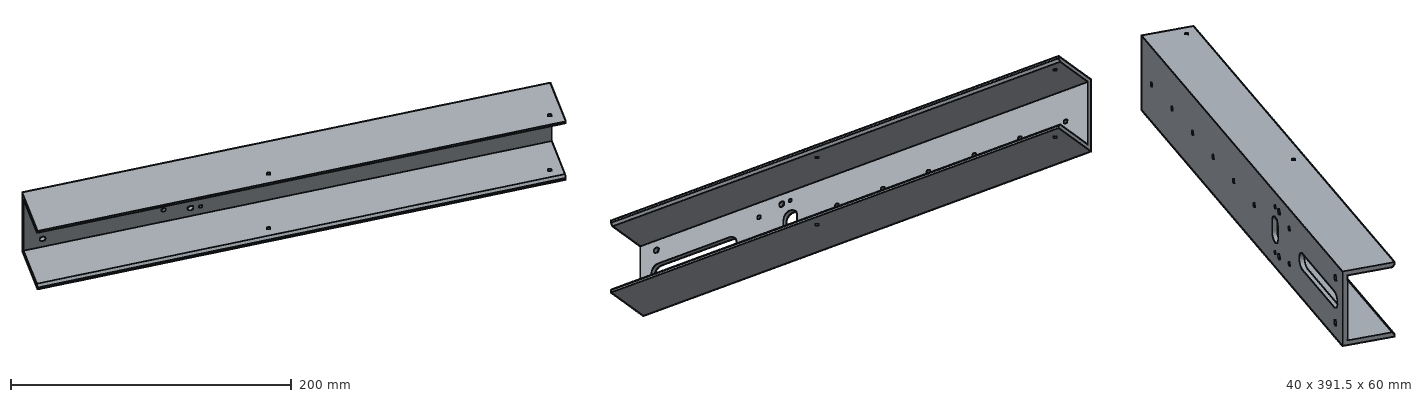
import cadquery as cq

length = 391.5
width = 40.0
height = 60.0
wall = 4.0
lip_chamfer = 2.0

front_end = -length / 2
rear_end = length / 2
web_face = -width / 2

row_count = 6
row_span = 200.0
row_pitch = row_span / (row_count - 1)
row_start = rear_end - 19.5
row_diameter = 3.33

upright_slot_y = front_end + 131.0
upright_slot_length = 20.5
upright_slot_width = 11.7
long_slot_y = front_end + 47.0
long_slot_length = 74.5
long_slot_width = 13.0

mount_diameter = 4.5
mount_offset = 18.0
mount_front_y = front_end + 14.0
mount_spacing = 109.5
pilot_diameter = 2.55
pilot_offset = 18.5
middle_diameter = 3.2
middle_offset = 14.0
middle_y = front_end + 103.7

flange_diameter = 2.55
flange_hole_x = web_face + 31.0
flange_hole_rear_y = rear_end - 9.5
flange_hole_spacing = 208.3


def make_channel():
    outer = cq.Workplane("XY").box(width, length, height)
    cavity = cq.Workplane("XY").box(width, length, height - 2 * wall).translate((wall, 0, 0))
    channel = outer.cut(cavity)
    for side in (-1, 1):
        edge_z = side * (height / 2 - wall)
        edge = cq.selectors.NearestToPointSelector((width / 2, 0, edge_z))
        channel = channel.edges("|Y").edges(edge).chamfer(lip_chamfer)
    return channel


def web_hole(y, z, diameter):
    cutter = cq.Workplane("YZ", origin=(web_face, 0, 0))
    return cutter.center(y, z).circle(diameter / 2).extrude(wall)


def web_slot(y, slot_length, slot_width, angle):
    cutter = cq.Workplane("YZ", origin=(web_face, 0, 0))
    return cutter.center(y, 0).slot2D(slot_length, slot_width, angle).extrude(wall)


def flange_hole(y):
    cutter = cq.Workplane("XY", origin=(flange_hole_x, y, -height / 2))
    return cutter.circle(flange_diameter / 2).extrude(height)


result = make_channel()

for index in range(row_count):
    result = result.cut(web_hole(row_start - index * row_pitch, 0, row_diameter))

result = result.cut(web_slot(upright_slot_y, upright_slot_length, upright_slot_width, 90))
result = result.cut(web_slot(long_slot_y, long_slot_length, long_slot_width, 0))

for side in (-1, 1):
    for y in (mount_front_y, mount_front_y + mount_spacing):
        result = result.cut(web_hole(y, side * mount_offset, mount_diameter))
    result = result.cut(web_hole(upright_slot_y, side * pilot_offset, pilot_diameter))
    result = result.cut(web_hole(middle_y, side * middle_offset, middle_diameter))

for y in (flange_hole_rear_y, flange_hole_rear_y - flange_hole_spacing):
    result = result.cut(flange_hole(y))